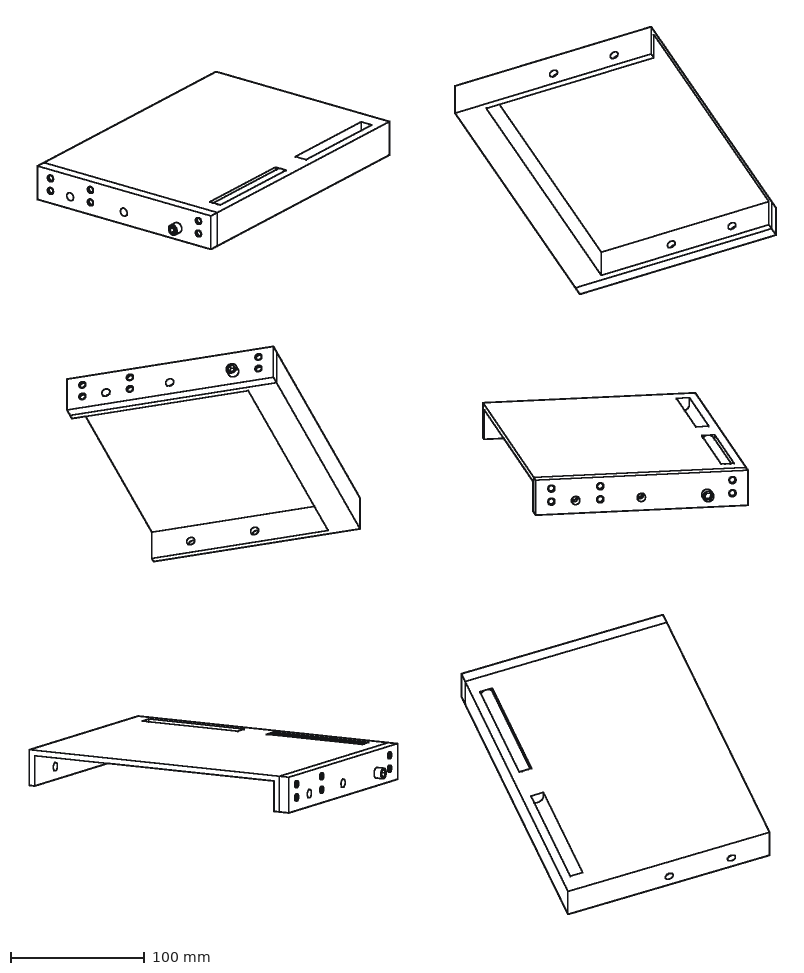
import cadquery as cq

width = 161.0
total_depth = 230.3
height = 27.2

pin_overhang = 5.8
plate_thickness = 8.0
plate_front = pin_overhang
housing_front = plate_front + plate_thickness
housing_depth = total_depth - housing_front

roof_thickness = 4.1
leg_thickness = 4.8

trough_width = 10.0
trough_length = 82.7
trough_end_margin = 13.1
trough_center_x = 149.2
trough_axis_depth = trough_width / 2
trough_axis_z = height - trough_axis_depth
front_trough_y = housing_front + trough_end_margin
rear_trough_y = total_depth - trough_end_margin - trough_length

rail_width = 2 * (width - trough_center_x)
rail_inner_x = width - rail_width

bore_z = 10.0
bore_pitch = 49.7
middle_bore_x = 80.1
bore_diameter = 6.2
through_hole_xs = [middle_bore_x - bore_pitch, middle_bore_x]
pin_x = middle_bore_x + bore_pitch

pin_diameter = 8.0
pin_length = pin_overhang + plate_thickness
socket_width = 5.0
socket_depth = 4.0
hexagon_sides = 6
socket_turn = 180 / hexagon_sides

left_screw_x = 12.0
middle_screw_x = 49.0
screw_top_margin = 7.1
screw_xs = [left_screw_x, middle_screw_x, trough_center_x]
screw_zs = [bore_z, height - screw_top_margin]
screw_head_diameter = 5.3
screw_head_depth = 0.5
screw_core_diameter = 4.4
screw_core_depth = 1.5


def y_cylinder(x, z, start_y, length, diameter):
    """Solid cylinder running along +Y from start_y."""
    return cq.Workplane("XZ", origin=(x, start_y, z)).circle(diameter / 2).extrude(-length)


def trough(start_y):
    """Straight-sided slot, open at the top, with a half-round floor."""
    floor = y_cylinder(trough_center_x, trough_axis_z, start_y, trough_length, trough_width)
    mouth = cq.Workplane("XY").box(
        trough_width, trough_length, trough_axis_depth, centered=(True, False, False)
    ).translate((trough_center_x, start_y, trough_axis_z))
    return floor.union(mouth)


def make_housing():
    body = cq.Workplane("XY").box(width, housing_depth, height, centered=False)
    body = body.translate((0, housing_front, 0))
    cavity = cq.Workplane("XY").box(
        rail_inner_x, housing_depth - 2 * leg_thickness, height - roof_thickness, centered=False
    ).translate((0, housing_front + leg_thickness, 0))
    body = body.cut(cavity)
    for start_y in (front_trough_y, rear_trough_y):
        body = body.cut(trough(start_y))
    for x in through_hole_xs:
        body = body.cut(y_cylinder(x, bore_z, housing_front, housing_depth, bore_diameter))
    return body


def make_plate():
    body = cq.Workplane("XY").box(width, plate_thickness, height, centered=False)
    body = body.translate((0, plate_front, 0))
    for x in through_hole_xs:
        body = body.cut(y_cylinder(x, bore_z, plate_front, plate_thickness, bore_diameter))
    body = body.cut(y_cylinder(pin_x, bore_z, plate_front, plate_thickness, pin_diameter))
    for x in screw_xs:
        for z in screw_zs:
            body = body.cut(y_cylinder(x, z, plate_front, screw_head_depth, screw_head_diameter))
            body = body.cut(y_cylinder(x, z, plate_front, screw_core_depth, screw_core_diameter))
    return body


def make_pin():
    body = y_cylinder(pin_x, bore_z, 0, pin_length, pin_diameter)
    socket = (
        cq.Workplane("XZ", origin=(pin_x, 0, bore_z))
        .transformed(rotate=(0, 0, socket_turn))
        .polygon(hexagon_sides, socket_width, circumscribed=True)
        .extrude(-socket_depth)
    )
    return body.cut(socket)


def make_roller():
    return y_cylinder(trough_center_x, trough_axis_z, front_trough_y, trough_length, trough_width)


housing = make_housing()
plate = make_plate()
pin = make_pin()
roller = make_roller()

result = cq.Compound.makeCompound([housing.val(), plate.val(), pin.val(), roller.val()])